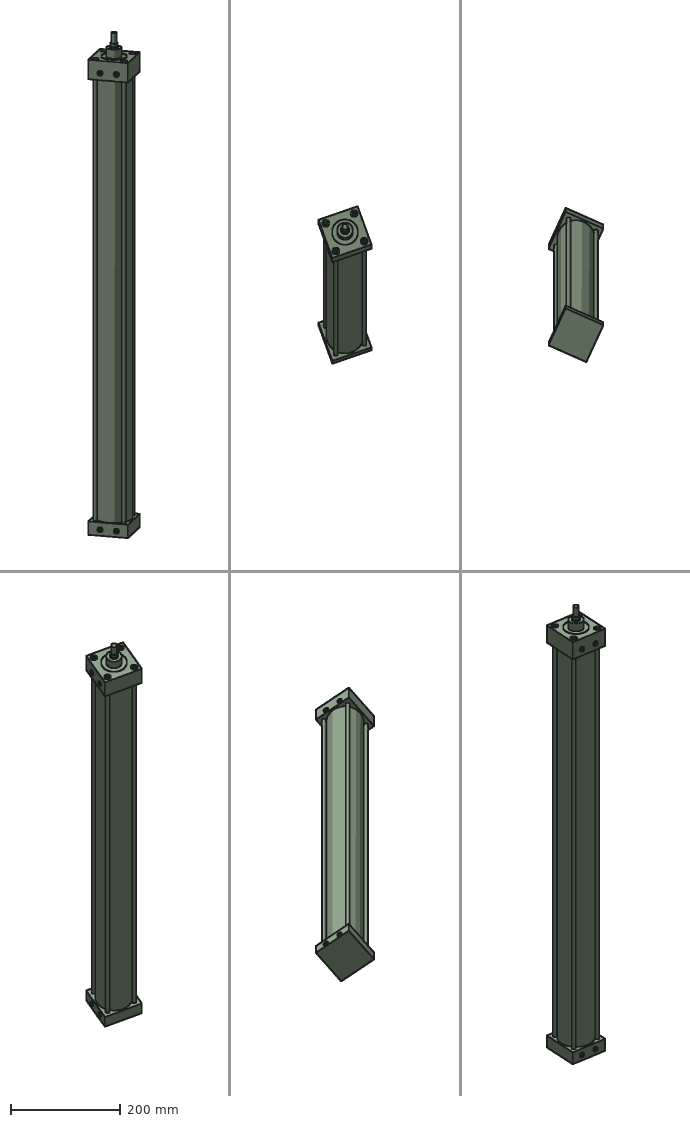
import cadquery as cq

total_height = 952.5
cap_side = 76.0

base_height = 26.0
head_bottom = 871.0
head_top = 908.0

barrel_diameter = 70.0
barrel_radius = barrel_diameter / 2
tie_rod_radius = 3.9
tie_rod_offset = 28.0
tie_rod_places = [
    (x, y)
    for x in (-tie_rod_offset, tie_rod_offset)
    for y in (-tie_rod_offset, tie_rod_offset)
]

screw_counterbore_radius = 6.2
screw_counterbore_depth = 4.0
screw_hole_radius = 3.0
screw_hole_depth = 10.0

mount_counterbore_radius = 5.0
mount_counterbore_depth = 2.0
mount_hole_radius = 3.0
mount_hole_depth = 10.0
mount_hole_spacing = 31.0
mount_hole_offset = mount_hole_spacing / 2
base_mount_height = 11.0
head_mount_height = 884.0

recess_radius = 24.0
recess_depth = 1.0
boss_radius = 14.0
boss_top = 924.0

shaft_radius = 8.0
shaft_top = 927.0
neck_radius = 7.0
neck_top = 932.5
rod_end_radius = 5.2


def cylinder(radius, bottom, top):
    """Round bar on the Z axis."""
    return cq.Workplane("XY", origin=(0, 0, bottom)).circle(radius).extrude(top - bottom)


def cap(bottom, top):
    """Square end cap."""
    return cq.Workplane("XY", origin=(0, 0, bottom)).rect(cap_side, cap_side).extrude(top - bottom)


def make_tie_rods():
    """Four bars that join the caps."""
    return (
        cq.Workplane("XY", origin=(0, 0, base_height))
        .pushPoints(tie_rod_places)
        .circle(tie_rod_radius)
        .extrude(head_bottom - base_height)
    )


def cut_screw_holes(body):
    """Counterbored holes in the four corners of the head's top face."""
    return (
        body.copyWorkplane(cq.Workplane("XY", origin=(0, 0, head_top)))
        .pushPoints(tie_rod_places)
        .cboreHole(
            2 * screw_hole_radius,
            2 * screw_counterbore_radius,
            screw_counterbore_depth,
            screw_hole_depth,
        )
    )


def cut_mounting_holes(body, height):
    """Pair of counterbored holes in the -Y side, at one height."""
    return (
        body.copyWorkplane(cq.Workplane("XZ", origin=(0, -cap_side / 2, height)))
        .pushPoints([(-mount_hole_offset, 0), (mount_hole_offset, 0)])
        .cboreHole(
            2 * mount_hole_radius,
            2 * mount_counterbore_radius,
            mount_counterbore_depth,
            mount_hole_depth,
        )
    )


def make_housing():
    """Caps, barrel, tie rods and boss, with a blind bore for the piston rod."""
    body = cap(0, base_height)
    body = body.union(cylinder(barrel_radius, base_height, head_bottom))
    body = body.union(make_tie_rods())
    body = body.union(cap(head_bottom, head_top))
    body = body.cut(cylinder(recess_radius, head_top - recess_depth, head_top))
    body = body.union(cylinder(boss_radius, head_top - recess_depth, boss_top))
    body = cut_screw_holes(body)
    for height in (base_mount_height, head_mount_height):
        body = cut_mounting_holes(body, height)
    return body.cut(cylinder(shaft_radius, head_bottom, boss_top))


def make_piston_rod():
    """Stepped rod that fills the bore and stands out of the boss."""
    shaft = cylinder(shaft_radius, head_bottom, shaft_top)
    neck = cylinder(neck_radius, shaft_top, neck_top)
    rod_end = cylinder(rod_end_radius, neck_top, total_height)
    return shaft.union(neck).union(rod_end)


housing = make_housing()
piston_rod = make_piston_rod()

result = cq.Compound.makeCompound([housing.val(), piston_rod.val()])